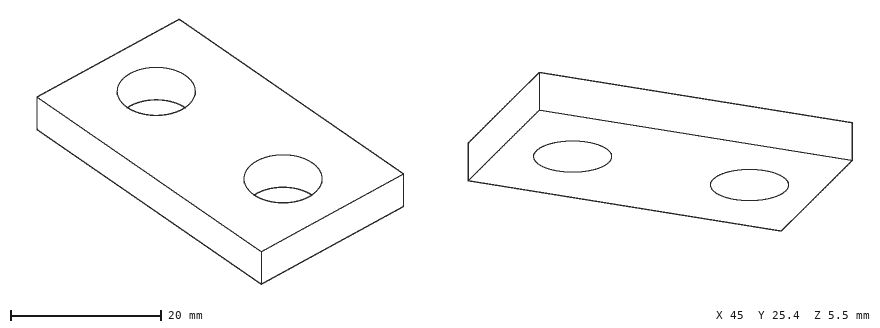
import cadquery as cq

length = 44.96
width = 25.4
thickness = 5.5

hole_diameter = 10.41
hole_spacing = 25.4
hole_row_offset = -0.12

plate = cq.Workplane("XY").box(length, width, thickness)

hole_centers = [
    (hole_row_offset + side * hole_spacing / 2, 0)
    for side in (-1, 1)
]

result = plate.faces(">Z").workplane().pushPoints(hole_centers).hole(hole_diameter)